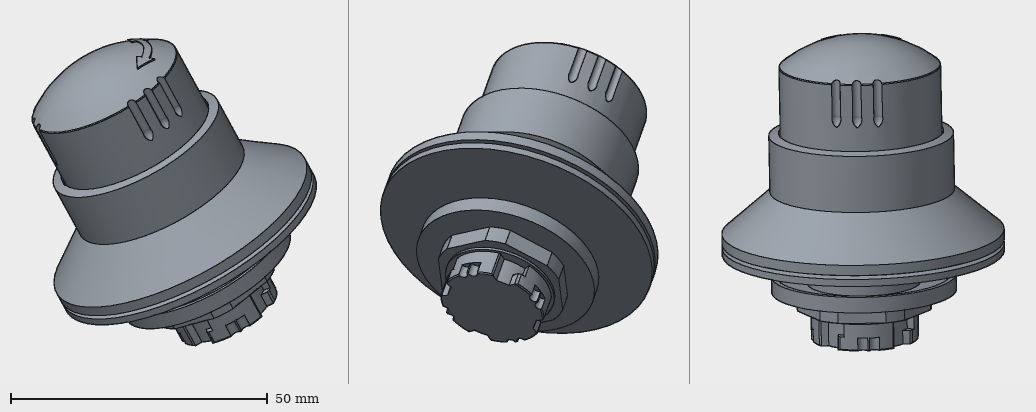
import cadquery as cq
import math

BARREL_BOTTOM = -29.05
SHOULDER_BOTTOM = -23.55
NUT_BOTTOM = -23.0
RING_BOTTOM = -19.5
RING_TOP = -16.35
RING_FLOOR = -17.8
NECK_STEP = -15.4
FLANGE_BOTTOM = -11.8
SEAL_GROOVE_BOTTOM = -10.4
SEAL_GROOVE_TOP = -9.6
CONE_BOTTOM = -7.55
CONE_TOP = 0.7
COLLAR_TOP = 11.9
COLLAR_INNER_TOP = 12.4
KNOB_RIM = 25.7
DOME_TOP = 31.35

BARREL_DIAMETER = 20.9
SHOULDER_DIAMETER = 22.0
NECK_DIAMETER = 22.0
NECK_UPPER_DIAMETER = 22.6
RING_DIAMETER = 36.0
RING_INNER_DIAMETER = 34.0
FLANGE_DIAMETER = 55.0
SEAL_GROOVE_DIAMETER = 52.0
COLLAR_DIAMETER = 36.0
KNOB_DIAMETER = 31.5

BARREL_RADIUS = BARREL_DIAMETER / 2
KNOB_RADIUS = KNOB_DIAMETER / 2

BARREL_CHAMFER = 0.25
RIM_CHAMFER = 0.1
RING_FLOOR_CHAMFER = 0.75
SEAL_GROOVE_SLOPE = 0.35
KNOB_GAP = 0.3
KNOB_GAP_DEPTH = 1.2

NUT_CORNER_DIAMETER = 26.2
NUT_ACROSS_FLATS = 24.45
NUT_FLAT_ANGLE = 7.5

GRIP_RADIUS = 0.85
GRIP_BOTTOM = 17.1
GRIP_TIP_LENGTH = 2.15
GRIP_GROUPS = 3
GRIP_MIDDLE_ANGLE = 7.5
GRIP_SPACING = 15.0

ARROW_HEIGHT = 0.25
ARROW_MIDDLE_ANGLE = 67.5
ARROW_TIP_HALF_ANGLE = 45.0
ARROW_BASE_HALF_ANGLE = 25.0
ARROW_RADIUS = 11.05
ARROW_SHAFT_WIDTH = 1.35
ARROW_HEAD_WIDTH = 3.25

BAYONET_COUNT = 4
POCKET_RADIUS = 9.0
POCKET_START = 11.5
POCKET_START_BEVEL = 2.0
POCKET_RAMP = 6.5
POCKET_END = 35.0
POCKET_END_RAMP = 4.0
POST_BEVEL = 3.0
BEVEL_DEPTH = 0.25
LEDGE_END = 47.0
LEDGE_HEIGHT = -26.35
SCOOP_TOP = -26.4
SCOOP_RADIUS = 1.0
SCOOP_MIDDLE_ANGLE = 73.8
SCOOP_HALF_SPACING = 6.3

LEAN_ABOUT_Y = -10.8
LEAN_ABOUT_X = 24.5


def polar(radius, angle):
    """Point at a radius and an angle in degrees around the knob axis."""
    return (radius * math.cos(math.radians(angle)), radius * math.sin(math.radians(angle)))


def disc(diameter, bottom, top):
    """Round plate between two stations on the axis."""
    return cq.Workplane("XY").workplane(offset=bottom).circle(diameter / 2).extrude(top - bottom)


def dome_sphere_radius():
    """Radius of the sphere through the knob rim and the top of the dome."""
    rise = DOME_TOP - KNOB_RIM
    return (KNOB_RADIUS**2 + rise**2) / (2 * rise)


def dome_ball(extra):
    """Ball concentric with the dome and larger than it by the given amount."""
    radius = dome_sphere_radius()
    return cq.Workplane("XY").sphere(radius + extra).translate((0, 0, DOME_TOP - radius))


def make_turned_body():
    """Ring, neck, flange, cone, collar and domed knob turned as one profile."""
    flange_radius = FLANGE_DIAMETER / 2
    collar_radius = COLLAR_DIAMETER / 2
    neck_radius = NECK_DIAMETER / 2
    neck_upper_radius = NECK_UPPER_DIAMETER / 2
    groove_floor_radius = SEAL_GROOVE_DIAMETER / 2
    ring_radius = RING_DIAMETER / 2
    ring_inner_radius = RING_INNER_DIAMETER / 2
    gap_radius = KNOB_RADIUS + KNOB_GAP
    gap_bottom = COLLAR_INNER_TOP - KNOB_GAP_DEPTH

    sphere_radius = dome_sphere_radius()
    sphere_center = DOME_TOP - sphere_radius
    dome_edge_radius = KNOB_RADIUS - RIM_CHAMFER
    dome_edge = sphere_center + math.sqrt(sphere_radius**2 - dome_edge_radius**2)
    dome_middle_radius = dome_edge_radius / 2
    dome_middle = sphere_center + math.sqrt(sphere_radius**2 - dome_middle_radius**2)

    return (
        cq.Workplane("XZ").moveTo(0, RING_BOTTOM)
        .lineTo(ring_radius, RING_BOTTOM).lineTo(ring_radius, RING_TOP)
        .lineTo(ring_inner_radius, RING_TOP).lineTo(ring_inner_radius, RING_FLOOR + RING_FLOOR_CHAMFER)
        .lineTo(ring_inner_radius - RING_FLOOR_CHAMFER, RING_FLOOR)
        .lineTo(neck_radius, RING_FLOOR).lineTo(neck_radius, NECK_STEP)
        .lineTo(neck_upper_radius, NECK_STEP).lineTo(neck_upper_radius, FLANGE_BOTTOM)
        .lineTo(flange_radius, FLANGE_BOTTOM).lineTo(flange_radius, SEAL_GROOVE_BOTTOM)
        .lineTo(groove_floor_radius, SEAL_GROOVE_BOTTOM + SEAL_GROOVE_SLOPE)
        .lineTo(groove_floor_radius, SEAL_GROOVE_TOP)
        .lineTo(flange_radius, SEAL_GROOVE_TOP).lineTo(flange_radius, CONE_BOTTOM)
        .lineTo(collar_radius, CONE_TOP).lineTo(collar_radius, COLLAR_TOP)
        .lineTo(gap_radius, COLLAR_INNER_TOP).lineTo(gap_radius, gap_bottom)
        .lineTo(KNOB_RADIUS, gap_bottom).lineTo(KNOB_RADIUS, KNOB_RIM - RIM_CHAMFER)
        .lineTo(dome_edge_radius, dome_edge)
        .threePointArc((dome_middle_radius, dome_middle), (0, DOME_TOP))
        .close().revolve(360, (0, 0, 0), (0, 1, 0))
    )


def make_grip_cutter():
    """Vertical round cutter with a rounded, elongated tip at its lower end."""
    tip_top = GRIP_BOTTOM + GRIP_TIP_LENGTH
    diagonal = math.sqrt(0.5)
    shoulder = (GRIP_RADIUS * diagonal, GRIP_BOTTOM + GRIP_TIP_LENGTH * (1 - diagonal))
    return (
        cq.Workplane("XZ").moveTo(0, GRIP_BOTTOM).threePointArc(shoulder, (GRIP_RADIUS, tip_top))
        .lineTo(GRIP_RADIUS, DOME_TOP).lineTo(0, DOME_TOP).close()
        .revolve(360, (0, 0, 0), (0, 1, 0)).translate((KNOB_RADIUS, 0, 0))
    )


def cut_grips(body):
    """Three groups of three grooves around the knob."""
    cutter = make_grip_cutter()
    for group in range(GRIP_GROUPS):
        for step in (-1, 0, 1):
            angle = GRIP_MIDDLE_ANGLE + group * 360 / GRIP_GROUPS + step * GRIP_SPACING
            body = body.cut(cutter.rotate((0, 0, 0), (0, 0, 1), angle))
    return body


def make_arrow():
    """Curved double-headed arrow standing slightly above the dome."""
    shaft_outer = ARROW_RADIUS + ARROW_SHAFT_WIDTH / 2
    shaft_inner = ARROW_RADIUS - ARROW_SHAFT_WIDTH / 2
    head_outer = ARROW_RADIUS + ARROW_HEAD_WIDTH / 2
    head_inner = ARROW_RADIUS - ARROW_HEAD_WIDTH / 2
    base = ARROW_BASE_HALF_ANGLE
    outline = (
        cq.Workplane("XY").workplane(offset=KNOB_RIM)
        .moveTo(*polar(shaft_outer, -base))
        .threePointArc(polar(shaft_outer, 0), polar(shaft_outer, base))
        .lineTo(*polar(head_outer, base))
        .lineTo(*polar(ARROW_RADIUS, ARROW_TIP_HALF_ANGLE))
        .lineTo(*polar(head_inner, base))
        .lineTo(*polar(shaft_inner, base))
        .threePointArc(polar(shaft_inner, 0), polar(shaft_inner, -base))
        .lineTo(*polar(head_inner, -base))
        .lineTo(*polar(ARROW_RADIUS, -ARROW_TIP_HALF_ANGLE))
        .lineTo(*polar(head_outer, -base))
        .close()
    )
    arrow = outline.extrude(DOME_TOP - KNOB_RIM).intersect(dome_ball(ARROW_HEIGHT))
    return arrow.rotate((0, 0, 0), (0, 0, 1), ARROW_MIDDLE_ANGLE)


def make_nut():
    """Hexagon whose corners are turned down to a circle."""
    height = RING_BOTTOM - NUT_BOTTOM
    hexagon_diameter = NUT_ACROSS_FLATS / math.cos(math.radians(30))
    hexagon = (
        cq.Workplane("XY").workplane(offset=NUT_BOTTOM).polygon(6, hexagon_diameter).extrude(height)
        .rotate((0, 0, 0), (0, 0, 1), NUT_FLAT_ANGLE + 30)
    )
    return hexagon.intersect(disc(NUT_CORNER_DIAMETER, NUT_BOTTOM, RING_BOTTOM))


def make_pocket(end_angle, end_ramp, end_bevel, bottom):
    """Sector below the shoulder, sunk to the pocket radius. Its start wall is sloped and bevelled;
    its end wall leans over by the ramp angle and may end in a bevel at the barrel surface."""
    bevel_radius = BARREL_RADIUS - BEVEL_DEPTH
    wall_angle = end_angle + end_ramp
    edge_angle = wall_angle + end_bevel
    outside = BARREL_DIAMETER
    start_foot = polar(POCKET_RADIUS, POCKET_START + POCKET_RAMP)
    end_foot = polar(POCKET_RADIUS, end_angle)
    floor_middle = polar(POCKET_RADIUS, (POCKET_START + POCKET_RAMP + end_angle) / 2)
    return (
        cq.Workplane("XY").workplane(offset=bottom)
        .moveTo(*start_foot)
        .lineTo(*polar(bevel_radius, POCKET_START + POCKET_START_BEVEL))
        .lineTo(*polar(BARREL_RADIUS, POCKET_START))
        .lineTo(*polar(outside, POCKET_START))
        .lineTo(*polar(outside, edge_angle))
        .lineTo(*polar(BARREL_RADIUS, edge_angle))
        .lineTo(*polar(bevel_radius, wall_angle))
        .lineTo(*end_foot)
        .threePointArc(floor_middle, start_foot)
        .close().extrude(SHOULDER_BOTTOM - bottom)
    )


def make_bayonet_cutters():
    """One L-shaped pocket and one pair of scoops."""
    lower_pocket = make_pocket(POCKET_END, POCKET_END_RAMP, POST_BEVEL, BARREL_BOTTOM)
    upper_pocket = make_pocket(LEDGE_END, 0, 0, LEDGE_HEIGHT)
    cutters = lower_pocket.union(upper_pocket)
    for side in (-1, 1):
        x, y = polar(BARREL_RADIUS, SCOOP_MIDDLE_ANGLE + side * SCOOP_HALF_SPACING)
        cutters = cutters.union(disc(2 * SCOOP_RADIUS, BARREL_BOTTOM, SCOOP_TOP).translate((x, y, 0)))
    return cutters


def make_barrel():
    """Barrel below its shoulder, with bayonet pockets and paired scoops along its lower edge."""
    barrel = disc(BARREL_DIAMETER, BARREL_BOTTOM, SHOULDER_BOTTOM).faces("<Z").chamfer(BARREL_CHAMFER)
    cutters = make_bayonet_cutters()
    for index in range(BAYONET_COUNT):
        barrel = barrel.cut(cutters.rotate((0, 0, 0), (0, 0, 1), index * 360 / BAYONET_COUNT))
    return barrel.union(disc(SHOULDER_DIAMETER, SHOULDER_BOTTOM, NUT_BOTTOM))


upright = (
    cut_grips(make_turned_body())
    .union(make_arrow())
    .union(make_nut())
    .union(make_barrel())
)
result = upright.rotate((0, 0, 0), (0, 1, 0), LEAN_ABOUT_Y).rotate((0, 0, 0), (1, 0, 0), LEAN_ABOUT_X)